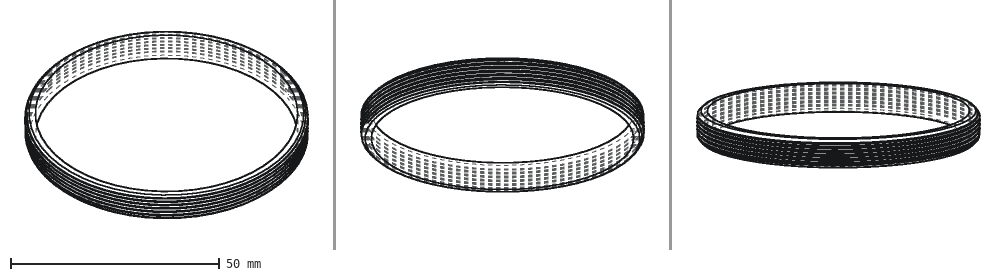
import cadquery as cq
import math

outer_diameter = 68.0
bore_diameter = 63.0
height = 7.0
end_chamfer = 1.0

pitch = 1.0
flank_angle = math.radians(30.0)
crest_flat = pitch / 8
root_flat = pitch / 4
thread_depth = (pitch - crest_flat - root_flat) / (2 * math.tan(flank_angle))

outer_radius = outer_diameter / 2
bore_radius = bore_diameter / 2
root_radius = outer_radius - thread_depth

root_overlap = 0.1
thread_overrun = pitch

crest_clearance = 0.5


def make_core():
    """Plain ring at the thread root diameter, as long as the untrimmed thread."""
    return (
        cq.Workplane("XY")
        .workplane(offset=-thread_overrun)
        .circle(root_radius)
        .extrude(height + 2 * thread_overrun)
    )


def make_thread_ridge():
    """Helical ridge with a trapezoidal section, from below the ring to above it."""
    helix = cq.Wire.makeHelix(pitch, height + 2 * thread_overrun, outer_radius)
    half_crest = crest_flat / 2
    inner_radius = root_radius - root_overlap
    half_base = half_crest + (outer_radius - inner_radius) * math.tan(flank_angle)
    section = cq.Workplane("XZ").polyline(
        [
            (inner_radius, -half_base),
            (outer_radius, -half_crest),
            (outer_radius, half_crest),
            (inner_radius, half_base),
        ]
    ).close()
    ridge = section.sweep(cq.Workplane(obj=helix), isFrenet=True)
    return ridge.translate((0, 0, -thread_overrun))


def make_envelope():
    """Bored ring with 45 degree ends; its side stands clear of the crests so it only trims the ends."""
    end_face_radius = outer_radius - end_chamfer
    side_radius = outer_radius + crest_clearance
    cone_height = side_radius - end_face_radius
    section = cq.Workplane("XZ").polyline(
        [
            (bore_radius, 0),
            (end_face_radius, 0),
            (side_radius, cone_height),
            (side_radius, height - cone_height),
            (end_face_radius, height),
            (bore_radius, height),
        ]
    ).close()
    return section.revolve(360, (0, 0, 0), (0, 1, 0))


result = make_core().union(make_thread_ridge()).intersect(make_envelope())